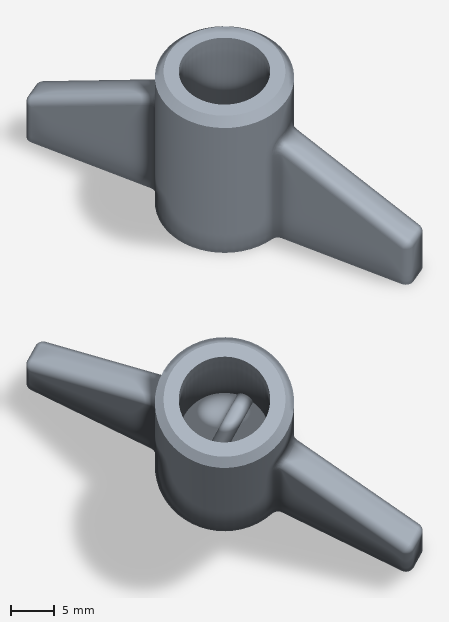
import cadquery as cq
import math

hub_diameter = 16.0
hub_height = 22.0
hub_chamfer = 1.0
hub_radius = hub_diameter / 2

bore_diameter = 10.5
bore_depth = 12.0
key_radius = 1.0
bore_floor = hub_height - bore_depth

span = 50.0
wing_thickness = 4.0
tip_height = 6.6
root_height = 15.4
edge_radius = 1.0
root_fillet = 1.0

tolerance = 0.025


def make_hub():
    return cq.Workplane("XY").circle(hub_radius).extrude(hub_height)


def make_wings():
    """Both wings as one blade through the hub, with rounded tip and top edges."""
    half_span = span / 2
    slope = (root_height - tip_height) / (half_span - hub_radius)
    peak_height = tip_height + slope * half_span
    blade = (
        cq.Workplane("XZ")
        .moveTo(-half_span, 0)
        .lineTo(half_span, 0)
        .lineTo(half_span, tip_height)
        .lineTo(0, peak_height)
        .lineTo(-half_span, tip_height)
        .close()
        .extrude(wing_thickness / 2, both=True)
    )
    side_edges = blade.faces("<Y or >Y").edges("not <Z")
    tip_corners = blade.faces("<X or >X").edges(">Z")
    return side_edges.add(tip_corners).fillet(edge_radius)


def fillet_wing_roots(body):
    """Blend the wings into the hub along the curves where they meet."""

    def is_root(edge):
        points = [edge.positionAt(t) for t in (0.0, 0.3, 0.5, 0.7, 1.0)]
        on_hub = all(abs(math.hypot(p.x, p.y) - hub_radius) < tolerance for p in points)
        near_wing = all(abs(p.y) < wing_thickness / 2 + tolerance for p in points)
        above_base = edge.Center().z > tolerance
        return on_hub and near_wing and above_base

    roots = [edge for edge in body.edges().vals() if is_root(edge)]
    return body.newObject(roots).fillet(root_fillet)


def make_bore():
    return (
        cq.Workplane("XY")
        .workplane(offset=bore_floor)
        .circle(bore_diameter / 2)
        .extrude(bore_depth)
    )


def make_key():
    """Round bar lying in the bore floor, with its upper half exposed."""
    return (
        cq.Workplane("XZ")
        .center(0, bore_floor)
        .circle(key_radius)
        .extrude(bore_diameter / 2, both=True)
    )


body = make_hub().union(make_wings())
body = fillet_wing_roots(body)
body = body.faces(">Z").edges().chamfer(hub_chamfer)
result = body.cut(make_bore()).union(make_key())